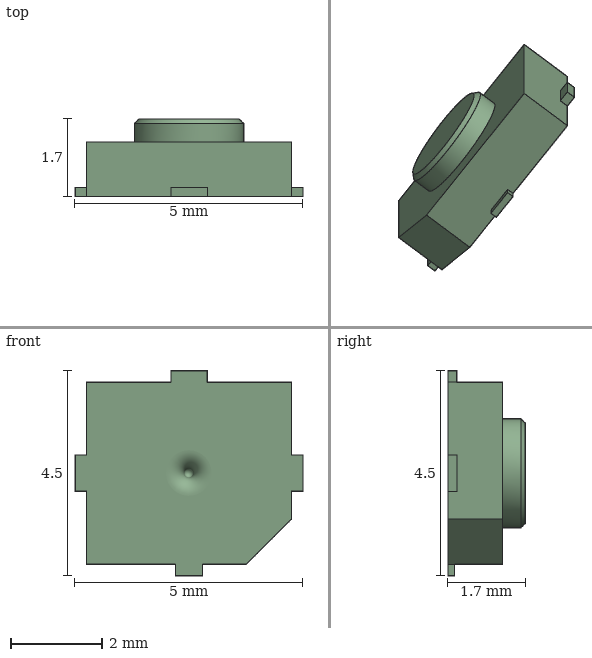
import cadquery as cq
import math

BODY_WIDTH = 4.5
BODY_HEIGHT = 4.0
BODY_DEPTH = 1.2
CORNER_CUT = 1.0

TAB_REACH = 0.25
TAB_WIDTH = 0.8
TAB_THICKNESS = 0.2
BOTTOM_TAB_WIDTH = 0.6
BOTTOM_TAB_THICKNESS = 0.15

BOSS_DIAMETER = 2.4
BOSS_HEIGHT = 0.5
BOSS_CHAMFER = 0.1

HOLE_MOUTH_RADIUS = 0.5
HOLE_THROAT_RADIUS = 0.1
FLARE_RADIUS = HOLE_MOUTH_RADIUS - HOLE_THROAT_RADIUS
HOLE_DEPTH = FLARE_RADIUS + HOLE_THROAT_RADIUS


def make_body():
    """Rectangular plate with its +X, -Z corner cut at 45 degrees."""
    half_width = BODY_WIDTH / 2
    half_height = BODY_HEIGHT / 2
    outline = [
        (-half_width, -half_height),
        (half_width - CORNER_CUT, -half_height),
        (half_width, CORNER_CUT - half_height),
        (half_width, half_height),
        (-half_width, half_height),
    ]
    return cq.Workplane("XZ").polyline(outline).close().extrude(-BODY_DEPTH)


def make_tab_bar(size_x, size_z, thickness):
    """A bar centred in X and Z with its front face on Y = 0."""
    return cq.Workplane("XZ").rect(size_x, size_z).extrude(-thickness)


def make_side_tabs():
    """The -X and +X tabs, made as one bar running through the body."""
    return make_tab_bar(BODY_WIDTH + 2 * TAB_REACH, TAB_WIDTH, TAB_THICKNESS)


def make_end_tab(width, thickness, direction):
    """One tab above (direction 1) or below (direction -1) the body."""
    length = BODY_HEIGHT / 2 + TAB_REACH
    bar = make_tab_bar(width, length, thickness)
    return bar.translate((0, 0, direction * length / 2))


def make_boss():
    """Chamfered disc on the back face, centred on the body."""
    boss = (
        cq.Workplane("XZ", origin=(0, BODY_DEPTH, 0))
        .circle(BOSS_DIAMETER / 2)
        .extrude(-BOSS_HEIGHT)
    )
    return boss.faces(">Y").chamfer(BOSS_CHAMFER)


def make_flared_hole():
    """Trumpet-shaped void: a quarter arc down to the throat, closed by a hemisphere."""
    cos_45 = math.sqrt(0.5)
    flare_middle = (
        HOLE_MOUTH_RADIUS - FLARE_RADIUS * cos_45,
        FLARE_RADIUS - FLARE_RADIUS * cos_45,
    )
    throat = (HOLE_THROAT_RADIUS, FLARE_RADIUS)
    hemisphere_middle = (
        HOLE_THROAT_RADIUS * cos_45,
        FLARE_RADIUS + HOLE_THROAT_RADIUS * cos_45,
    )
    return (
        cq.Workplane("XY")
        .lineTo(HOLE_MOUTH_RADIUS, 0)
        .threePointArc(flare_middle, throat)
        .threePointArc(hemisphere_middle, (0, HOLE_DEPTH))
        .close()
        .revolve(360, (0, 0, 0), (0, 1, 0))
    )


result = (
    make_body()
    .union(make_side_tabs())
    .union(make_end_tab(TAB_WIDTH, TAB_THICKNESS, 1))
    .union(make_end_tab(BOTTOM_TAB_WIDTH, BOTTOM_TAB_THICKNESS, -1))
    .union(make_boss())
    .cut(make_flared_hole())
)